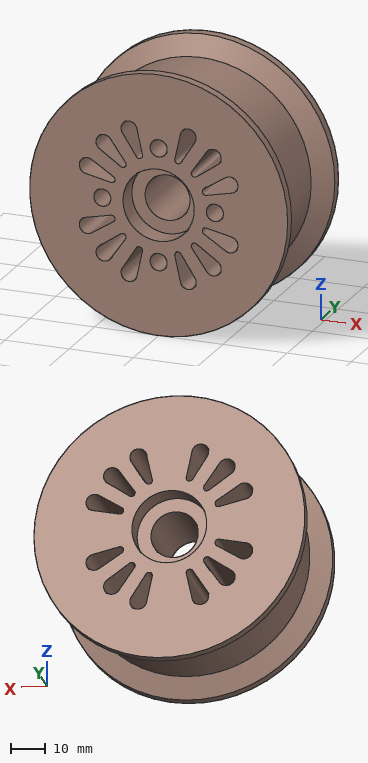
import cadquery as cq
import math

flange_diameter = 80.4
hub_diameter = 68.4
width = 40.0
rim_width = 3.05
flange_slope = 30.0

bore_diameter = 14.0
seat_diameter = 22.2
seat_depth = 7.0

slot_angle_step = 22.5
slot_inner_distance = 15.8
slot_inner_radius = 1.05
slot_outer_distance = 24.0
slot_outer_radius = 2.5

hole_diameter = 5.3
hole_distance = 17.5
hole_depth = 20.1
drill_point_angle = 118.0
floor_step_distance = 19.6
floor_step_height = 0.8

half_width = width / 2
flange_radius = flange_diameter / 2
hub_radius = hub_diameter / 2
hole_radius = hole_diameter / 2


def front_plane(depth=0):
    """Plane at a depth behind the front face, with +X right and +Z up."""
    return cq.Workplane("XZ", origin=(0, -half_width + depth, 0))


def make_body():
    rim_edge = half_width - rim_width
    slope_width = (flange_radius - hub_radius) * math.tan(math.radians(flange_slope))
    hub_edge = rim_edge - slope_width
    profile = [
        (0, -half_width),
        (flange_radius, -half_width),
        (flange_radius, -rim_edge),
        (hub_radius, -hub_edge),
        (hub_radius, hub_edge),
        (flange_radius, rim_edge),
        (flange_radius, half_width),
        (0, half_width),
    ]
    return cq.Workplane("XY").polyline(profile).close().revolve(360, (0, 0), (0, 1))


def make_bore():
    bore = front_plane().circle(bore_diameter / 2).extrude(-width)
    front_seat = front_plane().circle(seat_diameter / 2).extrude(-seat_depth)
    back_seat = front_plane(width - seat_depth).circle(seat_diameter / 2).extrude(-seat_depth)
    return bore.union(front_seat).union(back_seat)


def make_slot(angle):
    """Two round ends joined by their common tangents, turned to the given angle."""
    end_spacing = slot_outer_distance - slot_inner_distance
    along = -(slot_outer_radius - slot_inner_radius) / end_spacing
    across = math.sqrt(1 - along**2)
    inner_x = slot_inner_distance + slot_inner_radius * along
    inner_y = slot_inner_radius * across
    outer_x = slot_outer_distance + slot_outer_radius * along
    outer_y = slot_outer_radius * across
    slot = (
        front_plane()
        .moveTo(inner_x, inner_y)
        .lineTo(outer_x, outer_y)
        .threePointArc((slot_outer_distance + slot_outer_radius, 0), (outer_x, -outer_y))
        .lineTo(inner_x, -inner_y)
        .threePointArc((slot_inner_distance - slot_inner_radius, 0), (inner_x, inner_y))
        .close()
        .extrude(-width)
    )
    return slot.rotate((0, 0, 0), (0, 1, 0), angle)


def make_drilled_hole():
    """Hole with a conical end, above the spool axis."""
    point_depth = hole_radius / math.tan(math.radians(drill_point_angle / 2))
    front = -half_width
    shoulder = front + hole_depth
    profile = [(0, front), (hole_radius, front), (hole_radius, shoulder), (0, shoulder + point_depth)]
    hole = cq.Workplane("XY").polyline(profile).close().revolve(360, (0, 0), (0, 1))
    return hole.translate((0, 0, hole_distance))


def make_flat_hole():
    """Hole to the right of the spool axis, its flat floor raised along the outer side."""
    hole = front_plane().center(hole_distance, 0).circle(hole_radius).extrude(-hole_depth)
    raised_floor = (
        front_plane(hole_depth - floor_step_height)
        .center(floor_step_distance + hole_radius, 0)
        .rect(hole_diameter, hole_diameter)
        .extrude(-floor_step_height)
    )
    return hole.cut(raised_floor)


result = make_body().cut(make_bore())

for quadrant_angle in (0, 90, 180, 270):
    for slot_number in (1, 2, 3):
        result = result.cut(make_slot(quadrant_angle + slot_number * slot_angle_step))

for side_angle in (0, 180):
    for hole in (make_drilled_hole(), make_flat_hole()):
        result = result.cut(hole.rotate((0, 0, 0), (0, 1, 0), side_angle))